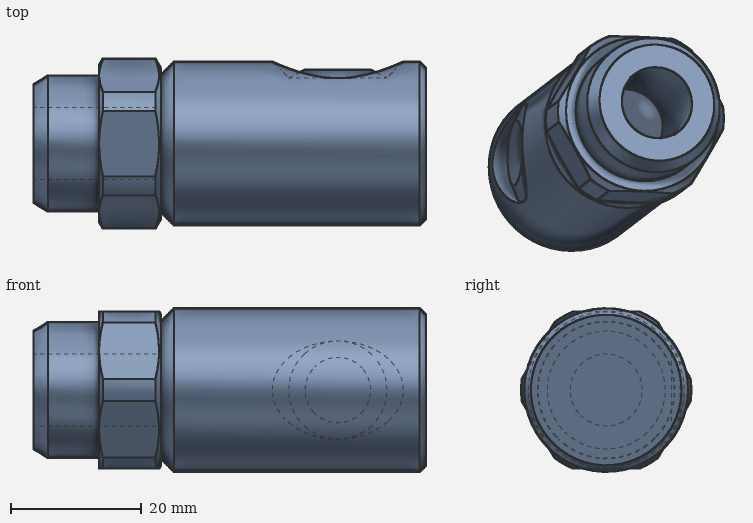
import cadquery as cq
import math

total_length = 60.0
collar_start = 10.0
collar_end = 19.5

spigot_radius = 10.4
spigot_tip_radius = 9.0
spigot_taper_length = 2.25
bore_radius = 5.5
bore_depth = collar_end

hex_sides = 6
hex_half_sector = 180 / hex_sides
hex_across_flats = 24.0
collar_radius = 13.0
collar_front_radius = 11.9
collar_back_radius = 11.5
collar_chamfer_angle = 30.0

sleeve_radius = 12.5
sleeve_shoulder = 2.0
sleeve_end_chamfer = 1.0

recess_x = 46.5
recess_radius = 10.0
recess_depth = 2.5
recess_floor_y = sleeve_radius - recess_depth
recess_floor_radius = recess_radius - recess_depth
button_top_y = 11.3
button_top_radius = 5.0


def turned(profile):
    """Revolve (x, radius) points, closed along the X axis, into a solid."""
    start_x = profile[0][0]
    end_x = profile[-1][0]
    outline = [(start_x, 0), *profile, (end_x, 0)]
    return cq.Workplane("XY").polyline(outline).close().revolve(360, (0, 0), (1, 0))


def frustum_along_y(base_y, base_radius, top_y, top_radius):
    """Truncated cone about the line x = recess_x, z = 0."""
    outline = [
        (recess_x, base_y),
        (recess_x + base_radius, base_y),
        (recess_x + top_radius, top_y),
        (recess_x, top_y),
    ]
    return cq.Workplane("XY").polyline(outline).close().revolve(360, (recess_x, 0), (recess_x, 1))


def make_spigot():
    return turned([
        (0, spigot_tip_radius),
        (spigot_taper_length, spigot_radius),
        (collar_start, spigot_radius),
    ])


def make_collar():
    across_corners = hex_across_flats / math.cos(math.radians(hex_half_sector))
    hexagon = (
        cq.Workplane("YZ")
        .workplane(offset=collar_start)
        .polygon(hex_sides, across_corners)
        .extrude(collar_end - collar_start)
    )
    chamfer_slope = math.tan(math.radians(collar_chamfer_angle))
    front_chamfer = (collar_radius - collar_front_radius) * chamfer_slope
    back_chamfer = (collar_radius - collar_back_radius) * chamfer_slope
    envelope = turned([
        (collar_start, collar_front_radius),
        (collar_start + front_chamfer, collar_radius),
        (collar_end - back_chamfer, collar_radius),
        (collar_end, collar_back_radius),
    ])
    return hexagon.intersect(envelope)


def make_sleeve():
    return turned([
        (collar_end, sleeve_radius - sleeve_shoulder),
        (collar_end + sleeve_shoulder, sleeve_radius),
        (total_length - sleeve_end_chamfer, sleeve_radius),
        (total_length, sleeve_radius - sleeve_end_chamfer),
    ])


def make_recess():
    """The 45 degree cone runs on to just outside the sleeve for a clean cut."""
    overrun = 1.0
    return frustum_along_y(
        recess_floor_y, recess_floor_radius, sleeve_radius + overrun, recess_radius + overrun
    )


def make_button():
    return frustum_along_y(recess_floor_y, recess_floor_radius, button_top_y, button_top_radius)


def make_bore():
    return turned([(0, bore_radius), (bore_depth, bore_radius)])


sleeve = make_sleeve().cut(make_recess()).union(make_button())
result = make_spigot().union(make_collar()).union(sleeve).cut(make_bore())